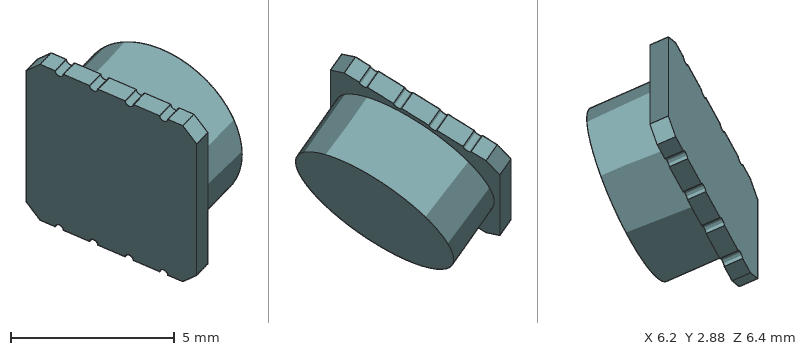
import cadquery as cq

plate_width = 6.2
plate_height = 6.4
plate_thickness = 0.63
corner_chamfer = 0.505

notch_radius = 0.15
inner_notch_x = 0.645
outer_notch_x = 1.9

total_depth = 2.88
can_diameter = 5.8
can_length = total_depth - plate_thickness


def make_can():
    """Plain cylinder standing on the back face of the plate."""
    circle = cq.Workplane("XZ", origin=(0, plate_thickness, 0)).circle(can_diameter / 2)
    return circle.extrude(-can_length)


def make_plate():
    """Plate with chamfered corners and notched edges, front face at Y = 0."""
    plate = cq.Workplane("XY").box(
        plate_width, plate_thickness, plate_height, centered=(True, False, True)
    )
    plate = plate.edges("|Y").chamfer(corner_chamfer)
    notch_centers = [
        (side * x, end * plate_height / 2)
        for x in (inner_notch_x, outer_notch_x)
        for side in (-1, 1)
        for end in (-1, 1)
    ]
    notches = (
        cq.Workplane("XZ")
        .pushPoints(notch_centers)
        .circle(notch_radius)
        .extrude(-plate_thickness)
    )
    return plate.cut(notches)


result = make_plate().union(make_can())